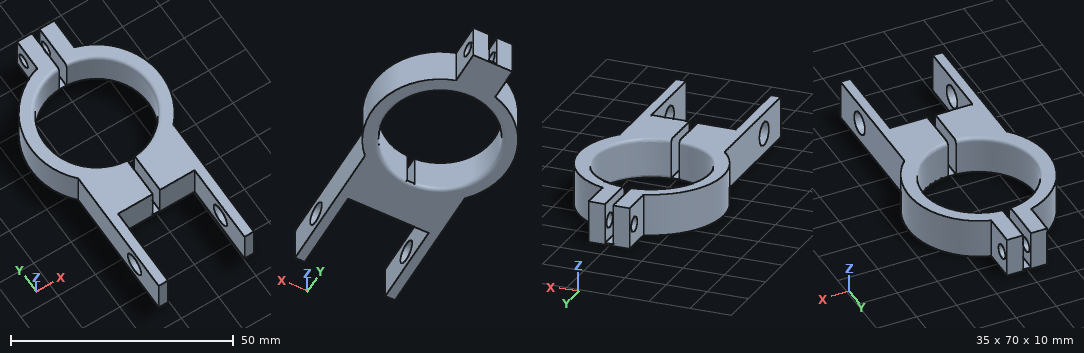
import cadquery as cq

height = 10.0
ring_radius = 17.5
bore_radius = 13.8
bore_edge_fillet = 1.0

lug_width = 10.0
lug_end_y = 25.0
lug_hole_diameter = 3.5
lug_hole_from_end = 2.65

total_length = 70.0
fork_end_y = lug_end_y - total_length
fork_width = 25.55
arm_thickness = 2.5
crotch_y = -24.5
arm_hole_diameter = 5.5
arm_hole_from_end = 9.95

slot_width = 1.95
web_thickness = 0.5


def block(width, y_start, y_end, z_start=0.0):
    """Box centred on X, reaching from z_start to the top face."""
    return (
        cq.Workplane("XY")
        .box(width, y_end - y_start, height - z_start, centered=(True, False, False))
        .translate((0, y_start, z_start))
    )


def cross_hole(diameter, y):
    """Cylinder along X through the whole part at mid height."""
    return (
        cq.Workplane("YZ")
        .center(y, height / 2)
        .circle(diameter / 2)
        .extrude(ring_radius, both=True)
    )


body = cq.Workplane("XY").circle(ring_radius).extrude(height)
body = body.union(block(lug_width, 0, lug_end_y))
body = body.union(block(fork_width, fork_end_y, 0))
fork_gap_width = fork_width - 2 * arm_thickness
body = body.cut(block(fork_gap_width, fork_end_y, crotch_y))

bore = cq.Workplane("XY").circle(bore_radius).extrude(height)
body = body.cut(bore)
smallest_radius = cq.selectors.RadiusNthSelector(0)
body = body.edges("%CIRCLE").edges(smallest_radius).fillet(bore_edge_fillet)

body = body.cut(block(slot_width, crotch_y, lug_end_y, web_thickness))
body = body.cut(cross_hole(lug_hole_diameter, lug_end_y - lug_hole_from_end))
body = body.cut(cross_hole(arm_hole_diameter, fork_end_y + arm_hole_from_end))

result = body